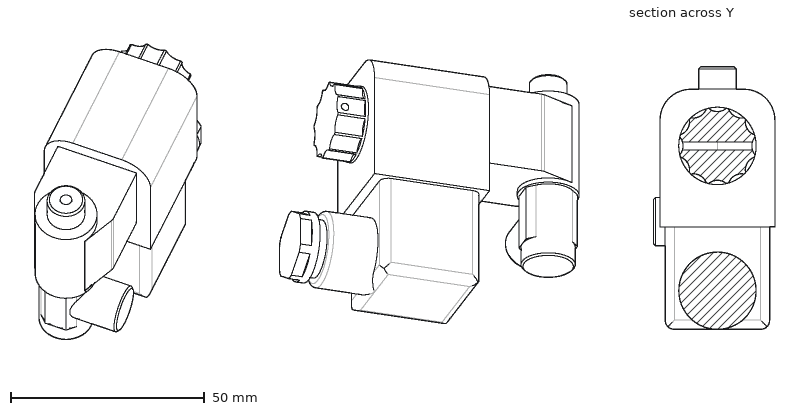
import cadquery as cq
import math


coil_width = 29.7
coil_front_y = 21.0
coil_back_y = 52.35
coil_bottom_z = 26.45
coil_top_z = 62.0
coil_round = 8.0

connector_size = 27.0
connector_center_y = 36.25
connector_round = 2.4

arm_size = 22.0
arm_axis_z = 47.35
arm_shoulder_y = 5.1
arm_tip_x = 7.0
arm_tip_y = -4.1
arm_corner_round = 2.3

sleeve_diameter = 16.0
sleeve_bottom_z = 35.15
sleeve_top_z = 61.3
stem_diameter = 14.0
stem_bottom_z = 14.85
stem_chamfer = 0.5
wrench_flat_bottom_z = 20.35
spigot_diameter = 9.73
spigot_tip_diameter = 8.57
spigot_top_z = 67.8
bore_diameter = 3.0
bore_depth = 8.0
drill_point_angle = 118.0

branch_diameter = 12.5
branch_end_x = 16.5
branch_axis_z = 27.8
branch_chamfer = 0.5

knob_diameter = 20.0
knob_collar_length = 0.75
knob_back_y = 60.55
flute_count = 12
flute_diameter = 7.0
flute_half_angle = 13.2
pin_hole_diameter = 2.0
pin_hole_y = 58.35

gland_diameter = 20.0
gland_axis_z = gland_diameter / 2
gland_shoulder_y = 62.8
gland_round = 1.0
neck_diameter = 15.2
nut_diameter = 18.5
nut_across_flats = 17.0
nut_flat_count = 6
nut_front_y = 65.25
nut_flats_y = 67.4
nut_back_y = 70.35


def cylinder_z(diameter, z_start, z_end):
    """Cylinder on the Z axis."""
    return cq.Workplane("XY", origin=(0, 0, z_start)).circle(diameter / 2).extrude(z_end - z_start)


def plane_y(y, z):
    """Workplane facing +Y, centred on X = 0."""
    return cq.Workplane("XZ", origin=(0, y, z)).transformed(rotate=(180, 0, 0))


def cylinder_y(diameter, y_start, y_end, axis_z):
    """Cylinder parallel to Y, centred on X = 0."""
    return plane_y(y_start, axis_z).circle(diameter / 2).extrude(y_end - y_start)


def make_coil():
    height = coil_top_z - coil_bottom_z
    block = cq.Workplane("XY", origin=(0, coil_front_y, coil_bottom_z)).box(
        coil_width, coil_back_y - coil_front_y, height, centered=(True, False, False)
    )
    return block.edges("|Y and >Z").fillet(coil_round)


def make_connector():
    """Block whose roundings along X, Y and Z meet in mitred corners."""
    block = cq.Workplane("XY", origin=(0, connector_center_y, 0)).box(
        connector_size, connector_size, coil_bottom_z, centered=(True, True, False)
    )
    upright = block.edges("|Z").fillet(connector_round)
    along_x = block.edges("|X and <Z").fillet(connector_round)
    along_y = block.edges("|Y and <Z").fillet(connector_round)
    return upright.intersect(along_x).intersect(along_y)


def make_arm():
    half = arm_size / 2
    outline = [
        (-half, coil_front_y),
        (-half, arm_shoulder_y),
        (-arm_tip_x, arm_tip_y),
        (arm_tip_x, arm_tip_y),
        (half, arm_shoulder_y),
        (half, coil_front_y),
    ]
    arm = cq.Workplane("XY", origin=(0, 0, arm_axis_z - half)).polyline(outline).close().extrude(arm_size)
    clearance = half - arm_tip_x
    shoulders = cq.selectors.BoxSelector(
        (-arm_size, arm_shoulder_y - clearance, 0), (arm_size, arm_shoulder_y + clearance, coil_top_z)
    )
    return arm.edges("|Z").edges(shoulders).fillet(arm_corner_round)


def make_stem():
    stem = cylinder_z(stem_diameter, stem_bottom_z, sleeve_bottom_z)
    return stem.faces("<Z").chamfer(stem_chamfer)


def make_wrench_flats():
    """Octagon around the stem, kept only between the tangent points of its slanted sides."""
    radius = stem_diameter / 2
    half_side = radius * math.tan(math.pi / 8)
    tangent = radius * math.cos(math.pi / 4)
    outline = [
        (tangent, tangent),
        (half_side, radius),
        (-half_side, radius),
        (-tangent, tangent),
        (-tangent, -tangent),
        (-half_side, -radius),
        (half_side, -radius),
        (tangent, -tangent),
    ]
    base = cq.Workplane("XY", origin=(0, 0, wrench_flat_bottom_z))
    return base.polyline(outline).close().extrude(sleeve_bottom_z - wrench_flat_bottom_z)


def make_spigot():
    spigot = cylinder_z(spigot_diameter, sleeve_top_z, spigot_top_z)
    return spigot.faces(">Z").chamfer((spigot_diameter - spigot_tip_diameter) / 2)


def make_bore():
    """Blind hole from the spigot top with a conical drill point."""
    radius = bore_diameter / 2
    floor_z = spigot_top_z - bore_depth
    point_z = floor_z - radius / math.tan(math.radians(drill_point_angle / 2))
    profile = [(0, point_z), (radius, floor_z), (radius, spigot_top_z), (0, spigot_top_z)]
    return cq.Workplane("XZ").polyline(profile).close().revolve(360, (0, 0), (0, 1))


def make_branch():
    branch = cq.Workplane("YZ", origin=(0, 0, branch_axis_z)).circle(branch_diameter / 2).extrude(branch_end_x)
    return branch.faces(">X").chamfer(branch_chamfer)


def make_knob():
    knob = cylinder_y(knob_diameter, coil_back_y, knob_back_y, arm_axis_z)
    radius = knob_diameter / 2
    edge = math.radians(flute_half_angle)
    flute_radius = flute_diameter / 2
    flute_offset = radius * math.cos(edge) + math.sqrt(flute_radius**2 - (radius * math.sin(edge)) ** 2)
    flute_start_y = coil_back_y + knob_collar_length
    flutes = (
        plane_y(flute_start_y, arm_axis_z)
        .polarArray(flute_offset, 0, 360, flute_count)
        .circle(flute_radius)
        .extrude(knob_back_y - flute_start_y, combine=False)
    )
    pin_hole = (
        cq.Workplane("YZ", origin=(0, pin_hole_y, arm_axis_z))
        .circle(pin_hole_diameter / 2)
        .extrude(radius, both=True)
    )
    return knob.cut(flutes).cut(pin_hole)


def make_gland():
    body = cylinder_y(gland_diameter, connector_center_y, gland_shoulder_y, gland_axis_z)
    body = body.faces(">Y").edges().fillet(gland_round)
    neck = cylinder_y(neck_diameter, gland_shoulder_y, nut_front_y, gland_axis_z)
    return body.union(neck).union(make_gland_nut())


def make_gland_nut():
    """Round nut whose outer end carries six flats, two of them facing along X."""
    flange = cylinder_y(nut_diameter, nut_front_y, nut_flats_y, gland_axis_z)
    across_corners = nut_across_flats / math.cos(math.pi / nut_flat_count)
    hexagon = (
        plane_y(nut_flats_y, gland_axis_z)
        .transformed(rotate=(0, 0, 180 / nut_flat_count))
        .polygon(nut_flat_count, across_corners)
        .extrude(nut_back_y - nut_flats_y)
    )
    end = cylinder_y(nut_diameter, nut_flats_y, nut_back_y, gland_axis_z).intersect(hexagon)
    return flange.union(end)


valve = (
    cylinder_z(sleeve_diameter, sleeve_bottom_z, sleeve_top_z)
    .union(make_arm())
    .union(make_stem())
    .union(make_wrench_flats())
    .union(make_branch())
    .union(make_spigot())
    .cut(make_bore())
)
result = valve.union(make_coil()).union(make_connector()).union(make_knob()).union(make_gland())